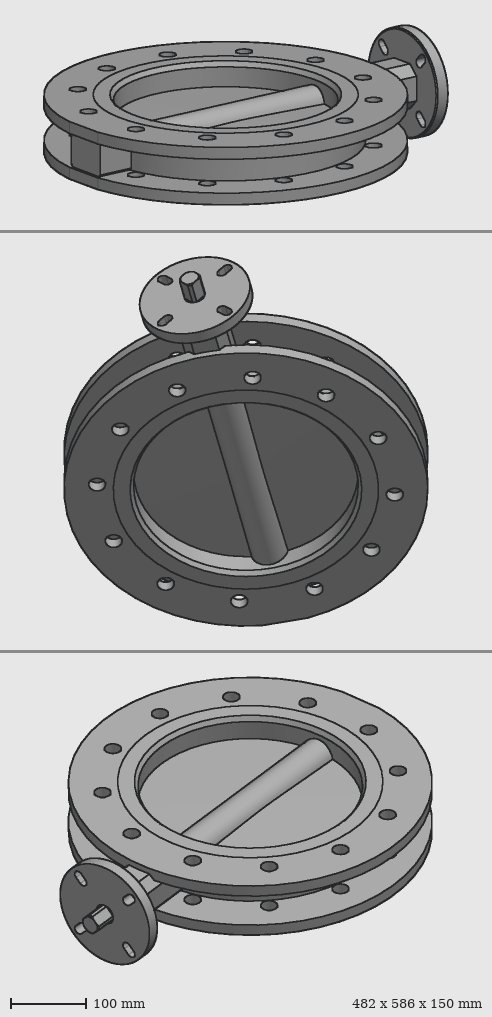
import cadquery as cq
import math


flange_diameter = 482.0
body_length = 79.5
flange_thickness = 16.5
ring_radius = 186.0
flange_radius = flange_diameter / 2
half_length = body_length / 2

bolt_count = 12
bolt_circle_radius = 197.5
bolt_hole_diameter = 22.0
bolt_pitch_angle = 360 / bolt_count

neck_width = 62.0
neck_chamfer = 14.0
boss_chamfer = 10.5
boss_reach = 235.0
flat_reach = math.sqrt(flange_radius**2 - (neck_width / 2) ** 2)

overall_height = 586
stem_top = overall_height - flat_reach
square_length = 31.5
plate_top = stem_top - square_length
plate_thickness = 19.0
plate_bottom = plate_top - plate_thickness
plate_diameter = 150.0
plate_chamfer = 2.0
slot_width = 13.0
slot_inner_radius = 52.0
slot_outer_radius = 62.0
slot_count = 4

liner_outer_radius = 176
bore_radius = 149.0
mouth_radius = 153.5
mouth_depth = 7.0

disc_edge_half_thickness = 5.0
disc_centre_half_thickness = 9.5
hub_radius = 25.0

stem_radius = 14.0
stem_square = 23.5
stem_tip_chamfer = 2.0
stem_bottom = 58.5
pin_top = -stem_bottom
pin_bottom = -211


def rod_along_y(radius, start, end):
    """Round rod on the Y axis from y = start to y = end."""
    return cq.Workplane("XZ", origin=(0, start, 0)).circle(radius).extrude(start - end)


def octagon_bar(chamfer, start, end):
    """Square bar with chamfered long edges on the Y axis, from y = start to y = end."""
    bar = cq.Workplane("XZ", origin=(0, start, 0)).rect(neck_width, neck_width).extrude(start - end)
    return bar.edges("|Y").chamfer(chamfer)


def cylinder_along_z(radius, length):
    """Round cylinder on the Z axis, centred on the origin."""
    return cq.Workplane("XY").circle(radius).extrude(length / 2, both=True)


def make_pipe_flange(bottom):
    """Drilled pipe flange with a flat on its -Y rim."""
    flange = cq.Workplane("XY", origin=(0, 0, bottom)).circle(flange_radius).extrude(flange_thickness)
    holes = (
        cq.Workplane("XY", origin=(0, 0, bottom))
        .polarArray(bolt_circle_radius, bolt_pitch_angle / 2, 360, bolt_count)
        .circle(bolt_hole_diameter / 2)
        .extrude(flange_thickness)
    )
    keep = cq.Workplane("XY").box(flange_diameter, flange_radius + flat_reach, body_length)
    keep = keep.translate((0, (flange_radius - flat_reach) / 2, 0))
    return flange.cut(holes).intersect(keep)


def make_mounting_plate():
    """Actuator plate with four radial slots on its diagonals."""
    plate = rod_along_y(plate_diameter / 2, plate_bottom, plate_top)
    plate = plate.faces("<Y").chamfer(plate_chamfer)
    slot_travel = slot_outer_radius - slot_inner_radius
    slot_centre = (slot_inner_radius + slot_outer_radius) / 2
    slot = (
        cq.Workplane("XZ", origin=(0, plate_bottom, 0))
        .center(slot_centre, 0)
        .slot2D(slot_travel + slot_width, slot_width)
        .extrude(-plate_thickness)
    )
    for index in range(slot_count):
        angle = (index + 0.5) * 360 / slot_count
        plate = plate.cut(slot.rotate((0, 0, 0), (0, 1, 0), angle))
    return plate


def make_housing():
    housing = cylinder_along_z(ring_radius, body_length)
    housing = housing.union(octagon_bar(neck_chamfer, 0, plate_bottom))
    housing = housing.union(octagon_bar(boss_chamfer, -boss_reach, 0))
    for bottom in (-half_length, half_length - flange_thickness):
        housing = housing.union(make_pipe_flange(bottom))
    housing = housing.union(make_mounting_plate())
    housing = housing.cut(cylinder_along_z(liner_outer_radius, body_length))
    return housing.cut(rod_along_y(stem_radius, pin_bottom, plate_top))


def make_liner():
    """Sleeve with a tapered mouth at each end, pierced by the stem and the pin."""
    profile = [
        (bore_radius, half_length - mouth_depth),
        (mouth_radius, half_length),
        (liner_outer_radius, half_length),
        (liner_outer_radius, -half_length),
        (mouth_radius, -half_length),
        (bore_radius, mouth_depth - half_length),
    ]
    liner = cq.Workplane("XZ").polyline(profile).close().revolve(360, (0, 0, 0), (0, 1, 0))
    return liner.cut(rod_along_y(stem_radius, -liner_outer_radius, liner_outer_radius))


def make_disc():
    """Closed disc that fills the bore, its hub bored for the stem and the pin."""
    profile = [
        (0, disc_centre_half_thickness),
        (bore_radius, disc_edge_half_thickness),
        (bore_radius, -disc_edge_half_thickness),
        (0, -disc_centre_half_thickness),
    ]
    disc = cq.Workplane("XZ").polyline(profile).close().revolve(360, (0, 0, 0), (0, 1, 0))
    hub = rod_along_y(hub_radius, -bore_radius, bore_radius)
    disc = disc.union(hub.intersect(cylinder_along_z(bore_radius, body_length)))
    disc = disc.cut(rod_along_y(stem_radius, stem_bottom, bore_radius))
    return disc.cut(rod_along_y(stem_radius, -bore_radius, pin_top))


def make_stem():
    """Round stem whose top end is a square with rounded corners, set on its diagonal."""
    stem = rod_along_y(stem_radius, stem_bottom, stem_top)
    stem = stem.faces(">Y").chamfer(stem_tip_chamfer)
    square = (
        cq.Workplane("XZ", origin=(0, plate_top, 0))
        .rect(stem_square, stem_square)
        .extrude(-square_length)
        .rotate((0, 0, 0), (0, 1, 0), 45)
    )
    shank = rod_along_y(stem_radius, stem_bottom, plate_top)
    return stem.intersect(square.union(shank))


housing = make_housing()
liner = make_liner()
disc = make_disc()
stem = make_stem()
lower_pin = rod_along_y(stem_radius, pin_bottom, pin_top)

result = cq.Compound.makeCompound(
    [housing.val(), liner.val(), disc.val(), stem.val(), lower_pin.val()]
)